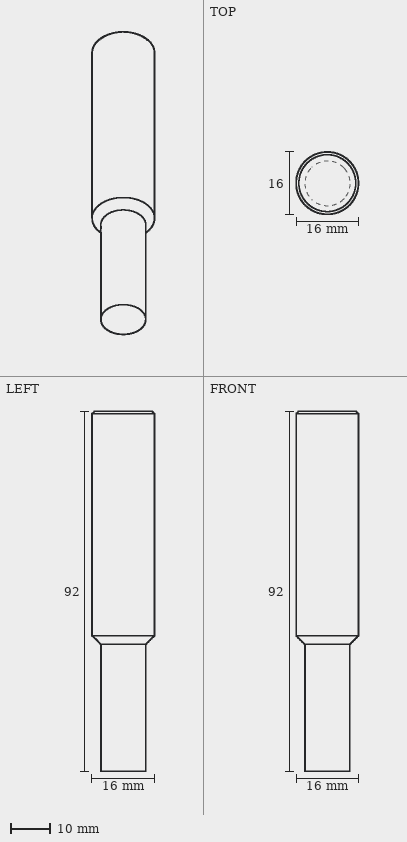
import cadquery as cq

total_length = 92.0
body_diameter = 16.0
pin_diameter = 11.5
pin_length = 32.4
top_chamfer = 0.7

body_length = total_length - pin_length
shoulder_taper = (body_diameter - pin_diameter) / 2


def make_body():
    """Thick cylinder, tapered at its lower end down to the pin diameter."""
    cylinder = (
        cq.Workplane("XY")
        .workplane(offset=pin_length)
        .circle(body_diameter / 2)
        .extrude(body_length)
    )
    tapered = cylinder.faces("<Z").chamfer(shoulder_taper)
    return tapered.faces(">Z").chamfer(top_chamfer)


def make_pin():
    """Plain thin cylinder that butts against the tapered end of the body."""
    return cq.Workplane("XY").circle(pin_diameter / 2).extrude(pin_length)


body = make_body()
pin = make_pin()

result = cq.Compound.makeCompound([body.val(), pin.val()])